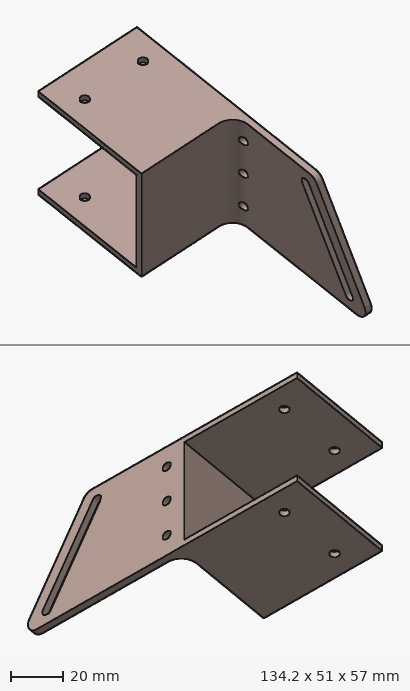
import cadquery as cq
import math

length = 134.2
depth = 51.0
height = 57.0
wall = 3.0

channel_length = 59.0
flange_hole_diameter = 4.0
flange_hole_x = 15.0
flange_hole_pitch = 30.0

plate_thickness = 3.2
root_radius = 8.0
plate_hole_diameter = 4.0
plate_hole_x = 65.0
plate_hole_pitch = 18.0
corner_radius = 5.0
slant_angle = math.radians(60)

slot_width = 4.4
slot_length = 54.1
slot_center_x = 112.3

plate_front = depth - plate_thickness


def make_channel():
    block = cq.Workplane("XY").box(channel_length, depth, height, centered=(False, False, True))
    opening = cq.Workplane("XY").box(
        channel_length - wall, depth, height - 2 * wall, centered=(False, False, True)
    )
    return block.cut(opening)


def make_plate():
    sharp_tip = length - corner_radius + corner_radius / math.tan(slant_angle / 2)
    top_end = sharp_tip - height / math.tan(slant_angle)
    return (
        cq.Workplane("XZ", origin=(0, depth, 0))
        .moveTo(channel_length, -height / 2)
        .lineTo(sharp_tip, -height / 2)
        .lineTo(top_end, height / 2)
        .lineTo(channel_length, height / 2)
        .close()
        .extrude(plate_thickness)
        .faces(">X")
        .edges("|Y")
        .fillet(corner_radius)
    )


def make_root_fillet():
    diagonal = root_radius * (1 - math.sqrt(0.5))
    return (
        cq.Workplane("XY", origin=(0, 0, -height / 2))
        .moveTo(channel_length, plate_front)
        .lineTo(channel_length, plate_front - root_radius)
        .threePointArc(
            (channel_length + diagonal, plate_front - diagonal),
            (channel_length + root_radius, plate_front),
        )
        .close()
        .extrude(height)
    )


def make_flange_holes():
    return (
        cq.Workplane("XY", origin=(flange_hole_x, depth / 2, -height / 2))
        .rarray(1.3, flange_hole_pitch, 1, 2)
        .circle(flange_hole_diameter / 2)
        .extrude(height)
    )


def make_plate_holes():
    return (
        cq.Workplane("XZ", origin=(plate_hole_x, depth, 0))
        .rarray(1.3, plate_hole_pitch, 1, 3)
        .circle(plate_hole_diameter / 2)
        .extrude(depth)
    )


def make_slot():
    return (
        cq.Workplane("XZ", origin=(slot_center_x, depth, 0))
        .slot2D(slot_length, slot_width, -math.degrees(slant_angle))
        .extrude(plate_thickness)
    )


result = make_channel().union(make_plate()).union(make_root_fillet())
for cutter in (make_flange_holes(), make_plate_holes(), make_slot()):
    result = result.cut(cutter)